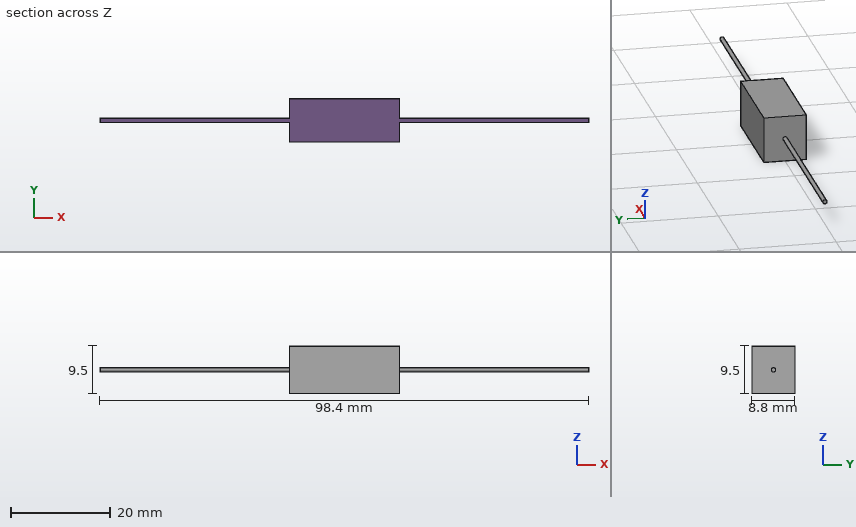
import cadquery as cq

overall_length = 98.4

body_length = 22.2
body_depth = 8.8
body_height = 9.5

lead_diameter = 0.9

body = cq.Workplane("XY").box(body_length, body_depth, body_height)

leads = (
    cq.Workplane("YZ")
    .circle(lead_diameter / 2)
    .extrude(overall_length / 2, both=True)
)

result = body.union(leads)